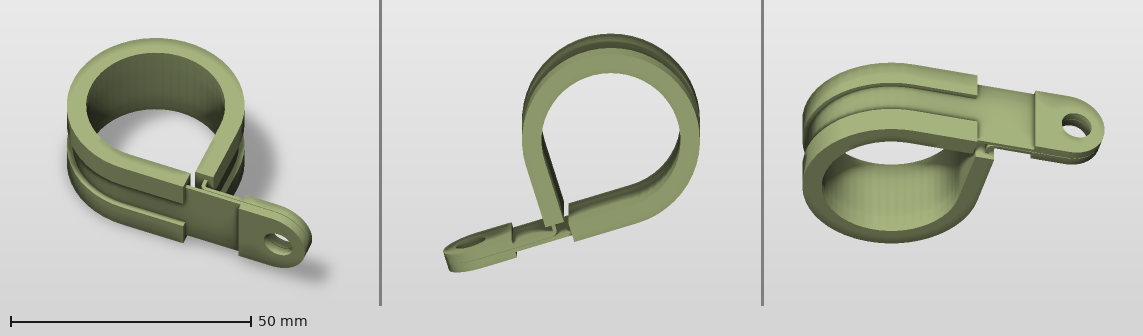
import cadquery as cq

total_length = 59.5
outer_diameter = 37.0
cushion_thickness = 4.05
cushion_width = 18.0
front_leg_end = 13.7
side_leg_gap = 4.75
groove_width = 7.1
groove_depth = 1.2
strap_thickness = 0.8
strap_gap = 0.1
strap_width = 15.1
bend_inner_radius = 0.6
pad_length = 14.9
hole_diameter = 6.4
hole_to_tip = 6.0

outer_radius = outer_diameter / 2
inner_radius = outer_radius - cushion_thickness
groove_radius = outer_radius - groove_depth
strap_inner_radius = groove_radius - strap_thickness
front_y = -outer_radius
side_leg_end = front_y + side_leg_gap
tip_x = total_length - outer_radius
pad_start = tip_x - pad_length
gap_front_y = -strap_inner_radius
gap_back_y = gap_front_y + strap_gap
leaf_thickness = gap_front_y - front_y
bend_outer_radius = bend_inner_radius + strap_thickness
overlap = 0.6


def loop_profile(radius):
    """Teardrop: three quarters of a circle with two straight legs meeting at a corner."""
    return (
        cq.Workplane("XY")
        .moveTo(radius, -radius)
        .lineTo(radius, 0)
        .threePointArc((-radius * 0.5**0.5, radius * 0.5**0.5), (0, -radius))
        .close()
    )


def block(x_start, x_end, y_start, y_end, width):
    """Rectangular block centred on Z = 0."""
    return (
        cq.Workplane("XY")
        .moveTo((x_start + x_end) / 2, (y_start + y_end) / 2)
        .rect(x_end - x_start, y_end - y_start)
        .extrude(width / 2, both=True)
    )


def loop_band(outer, inner, width):
    """Band between two teardrops, with the corner between the leg ends removed."""
    band = loop_profile(outer).extrude(width / 2, both=True)
    band = band.cut(loop_profile(inner).extrude(width / 2, both=True))
    return band.cut(block(front_leg_end, outer_radius, front_y, side_leg_end, width))


def bend_cylinder(x, y, radius):
    """Cylinder along Z, as tall as the strap is wide."""
    return cq.Workplane("XY").center(x, y).circle(radius).extrude(strap_width / 2, both=True)


def make_cushion():
    """Cushion loop with a groove around its outside."""
    cushion = loop_band(outer_radius, inner_radius, cushion_width)
    return cushion.cut(loop_band(outer_radius, groove_radius, groove_width))


def make_bent_strap():
    """Strap end that leaves the side leg and bends round to run along X."""
    bend_y = gap_back_y + bend_outer_radius
    bend_x = strap_inner_radius + bend_outer_radius
    leg = block(strap_inner_radius, groove_radius, bend_y, side_leg_end + overlap, strap_width)
    run = block(bend_x, pad_start + overlap, gap_back_y, gap_back_y + strap_thickness, strap_width)
    bend = block(strap_inner_radius, bend_x, gap_back_y, bend_y, strap_width)
    bend = bend.intersect(bend_cylinder(bend_x, bend_y, bend_outer_radius))
    bend = bend.cut(bend_cylinder(bend_x, bend_y, bend_inner_radius))
    return leg.union(run).union(bend)


def make_straight_strap():
    """Strap end that runs straight out of the front leg."""
    return block(front_leg_end - overlap, pad_start + overlap, -groove_radius, gap_front_y, strap_width)


def make_pad_leaf(leaf_front_y):
    """Thickened end of one strap, with a round tip and a bolt hole."""
    tip_radius = strap_width / 2
    tip_center = tip_x - tip_radius
    return (
        cq.Workplane("XZ", origin=(0, leaf_front_y, 0))
        .moveTo(pad_start, -tip_radius)
        .lineTo(tip_center, -tip_radius)
        .threePointArc((tip_x, 0), (tip_center, tip_radius))
        .lineTo(pad_start, tip_radius)
        .close()
        .moveTo(tip_x - hole_to_tip, 0)
        .circle(hole_diameter / 2)
        .extrude(-leaf_thickness)
    )


front_strap = make_straight_strap().union(make_pad_leaf(front_y))
back_strap = make_bent_strap().union(make_pad_leaf(gap_back_y))
result = make_cushion().union(front_strap).union(back_strap)